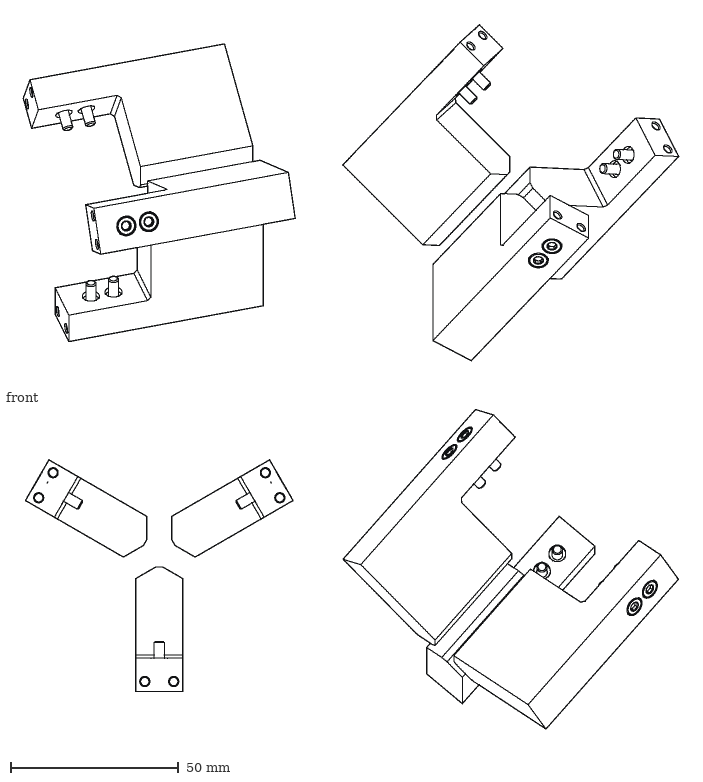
import cadquery as cq
import math

JAW_COUNT = 3
OVERALL_WIDTH = 79.75

JAW_WIDTH = 14.0
JAW_LENGTH = 60.5
BODY_LENGTH = 35.0
JAW_HEIGHT = 37.2
ARM_THICKNESS = 10.0
CORNER_CHAMFER = 1.0
TIP_FLAT = 2.1
TIP_SLOPE = 30.0

UPPER_JAW_TILT = math.radians(360 / JAW_COUNT - 90)
OUTER_RADIUS = (OVERALL_WIDTH / 2 - JAW_WIDTH / 2 * math.sin(UPPER_JAW_TILT)) / math.cos(UPPER_JAW_TILT)
OUTER_Z = -OUTER_RADIUS
ARM_Z = OUTER_Z + ARM_THICKNESS
TIP_Z = OUTER_Z + JAW_HEIGHT
SHOULDER_Z = TIP_Z - (JAW_WIDTH - TIP_FLAT) / 2 * math.tan(math.radians(TIP_SLOPE))
BODY_Y = JAW_LENGTH - BODY_LENGTH

END_HOLE_SPACING = 8.6
END_HOLE_HEIGHT = 3.0
END_HOLE_DIAMETER = 2.5
END_HOLE_MOUTH = 3.0
END_HOLE_MOUTH_DEPTH = 0.4
END_HOLE_DEPTH = 6.0

SCREW_FIRST_Y = 9.0
SCREW_SPACING = 7.0
SCREW_PLACES = [SCREW_FIRST_Y, SCREW_FIRST_Y + SCREW_SPACING]
SHANK_DIAMETER = 3.0
SHANK_HOLE_DIAMETER = 3.2
SHANK_PROTRUSION = 5.0
SHANK_TIP_DIAMETER = 2.3
HEAD_DIAMETER = 5.5
HEAD_HEIGHT = 3.0
HEAD_CHAMFER = 0.2
HEX_SIDES = 6
SOCKET_WIDTH = 2.5
SOCKET_MOUTH = 3.0
SOCKET_MOUTH_DEPTH = 0.2
SOCKET_DEPTH = 1.2
HEAD_BORE_DIAMETER = 5.9
RELIEF_DIAMETER = 5.0
RELIEF_DEPTH = 1.5
DRILL_POINT_SLOPE = 30.0


def cylinder(diameter, bottom_z, top_z):
    return cq.Workplane("XY", origin=(0, 0, bottom_z)).circle(diameter / 2).extrude(top_z - bottom_z)


def drill_point(diameter, base_z):
    """Cone narrowing upward from its base."""
    radius = diameter / 2
    height = radius * math.tan(math.radians(DRILL_POINT_SLOPE))
    return cq.Workplane(cq.Solid.makeCone(radius, 0, height, pnt=cq.Vector(0, 0, base_z)))


def tapered_mouth(mouth_diameter, inner_diameter, depth):
    return cq.Workplane(cq.Solid.makeCone(mouth_diameter / 2, inner_diameter / 2, depth))


def end_hole():
    """Blind hole running along +Y, with a tapered mouth and a drill point."""
    bore = cylinder(END_HOLE_DIAMETER, 0, END_HOLE_DEPTH)
    mouth = tapered_mouth(END_HOLE_MOUTH, END_HOLE_DIAMETER, END_HOLE_MOUTH_DEPTH)
    hole = bore.union(mouth).union(drill_point(END_HOLE_DIAMETER, END_HOLE_DEPTH))
    return hole.rotate((0, 0, 0), (1, 0, 0), -90)


def screw_hole():
    """Stepped through hole: head bore outside, shank hole, relief at the inner face."""
    head_bore = cylinder(HEAD_BORE_DIAMETER, OUTER_Z, OUTER_Z + HEAD_HEIGHT)
    shank_hole = cylinder(SHANK_HOLE_DIAMETER, OUTER_Z, ARM_Z)
    relief = cylinder(RELIEF_DIAMETER, ARM_Z - RELIEF_DEPTH, ARM_Z)
    return head_bore.union(shank_hole).union(relief)


def make_jaw():
    half_width = JAW_WIDTH / 2
    half_flat = TIP_FLAT / 2
    end_outline = [
        (-half_width, OUTER_Z),
        (half_width, OUTER_Z),
        (half_width, SHOULDER_Z),
        (half_flat, TIP_Z),
        (-half_flat, TIP_Z),
        (-half_width, SHOULDER_Z),
    ]
    side_outline = [
        (0, OUTER_Z),
        (JAW_LENGTH, OUTER_Z),
        (JAW_LENGTH, TIP_Z),
        (BODY_Y, TIP_Z),
        (BODY_Y, ARM_Z + CORNER_CHAMFER),
        (BODY_Y - CORNER_CHAMFER, ARM_Z),
        (0, ARM_Z),
    ]
    bar = cq.Workplane("XZ").polyline(end_outline).close().extrude(-JAW_LENGTH)
    side = cq.Workplane("YZ").polyline(side_outline).close().extrude(half_width, both=True)
    jaw = bar.intersect(side)
    for x in (-END_HOLE_SPACING / 2, END_HOLE_SPACING / 2):
        jaw = jaw.cut(end_hole().translate((x, 0, OUTER_Z + END_HOLE_HEIGHT)))
    for y in SCREW_PLACES:
        jaw = jaw.cut(screw_hole().translate((0, y, 0)))
    return jaw


def hex_socket():
    """Hexagon with two flats facing along X, tapered at its mouth and drilled at its floor."""
    across_corners = SOCKET_WIDTH / math.cos(math.pi / HEX_SIDES)
    hexagon = cq.Workplane("XY").polygon(HEX_SIDES, across_corners).extrude(SOCKET_DEPTH)
    hexagon = hexagon.rotate((0, 0, 0), (0, 0, 1), 180 / HEX_SIDES)
    mouth = tapered_mouth(SOCKET_MOUTH, SOCKET_WIDTH, SOCKET_MOUTH_DEPTH)
    socket = hexagon.union(mouth).union(drill_point(SOCKET_WIDTH, SOCKET_DEPTH))
    return socket.translate((0, 0, OUTER_Z))


def make_screw():
    """Screw on the Z axis, its head flush with the outer face of the jaw."""
    head = cylinder(HEAD_DIAMETER, OUTER_Z, OUTER_Z + HEAD_HEIGHT).faces("<Z").chamfer(HEAD_CHAMFER)
    tip_chamfer = (SHANK_DIAMETER - SHANK_TIP_DIAMETER) / 2
    shank = cylinder(SHANK_DIAMETER, OUTER_Z, ARM_Z + SHANK_PROTRUSION).faces(">Z").chamfer(tip_chamfer)
    return head.union(shank).cut(hex_socket())


bodies = []
for index in range(JAW_COUNT):
    angle = index * 360 / JAW_COUNT
    bodies.append(make_jaw().rotate((0, 0, 0), (0, 1, 0), angle).val())
    for y in SCREW_PLACES:
        bodies.append(make_screw().translate((0, y, 0)).rotate((0, 0, 0), (0, 1, 0), angle).val())

result = cq.Compound.makeCompound(bodies)